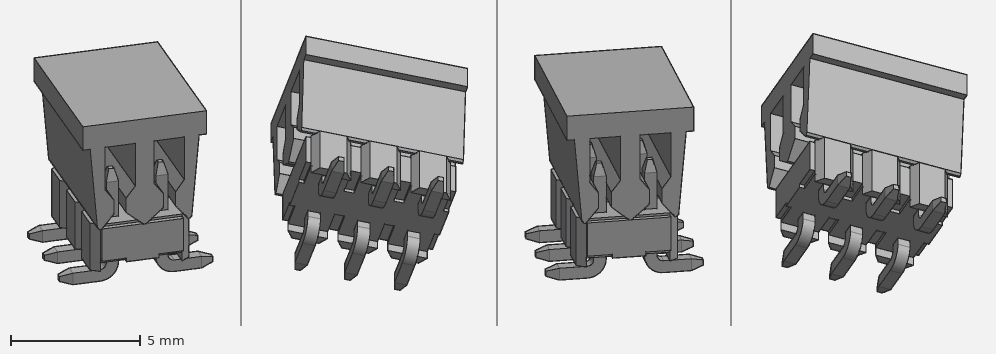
import cadquery as cq
import math

total_height = 7.2
pitch = 2.0
contacts_per_row = 3

pin_width = 0.505
pin_thickness = 0.5
pin_top = 4.695
pin_row_span = 6.2
pin_tip_length = 0.5
pin_tip_width = 0.215
pin_inner_radius = 0.25

cap_length = 6.5
cap_plate_width = 5.0
cap_plate_thickness = 1.0
cap_root_half_width = 2.2
cap_foot_half_width = 1.91
cap_bevel_height = 0.09
cap_bevel_depth = 0.08
slot_outer = 1.6
slot_inner = 0.38
slot_shoulder_z = 4.38
throat_top_z = 3.9
throat_bottom_z = 3.3
mouth_outer = 1.75
mouth_inner = 0.05

housing_top = 2.69
core_length = 6.02
core_width = 3.3
core_bottom = 1.22
core_top = 2.6
spine_width = 1.31
spine_bottom = 1.06
lug_width = 1.6
lug_face_width = 1.08
lug_bottom = 0.685
lugs_width = 2 * pitch

row_y = pitch / 2
pin_inner_y = row_y - pin_thickness / 2
pin_outer_y = row_y + pin_thickness / 2
contact_xs = [(i - (contacts_per_row - 1) / 2) * pitch for i in range(contacts_per_row)]


def block(length, width, bottom, top):
    """Box centred on X and Y between two heights."""
    return cq.Workplane("XY").workplane(offset=bottom).rect(length, width).extrude(top - bottom)


def prism_along_x(profile, length):
    """Extrude a YZ profile symmetrically about X = 0."""
    return profile.extrude(length / 2, both=True)


def slot(side):
    """Through slot whose throat grips the pin row on the given side (+1 or -1) of the centre plane."""
    outline = [
        (slot_inner, total_height - cap_plate_thickness),
        (slot_outer, total_height - cap_plate_thickness),
        (slot_outer, slot_shoulder_z),
        (pin_outer_y, throat_top_z),
        (pin_outer_y, throat_bottom_z),
        (mouth_outer, housing_top),
        (mouth_inner, housing_top),
        (pin_inner_y, throat_bottom_z),
        (pin_inner_y, throat_top_z),
        (slot_inner, slot_shoulder_z),
    ]
    points = [(side * y, z) for y, z in outline]
    return prism_along_x(cq.Workplane("YZ").polyline(points).close(), cap_length)


def make_cap():
    plate_bottom = total_height - cap_plate_thickness
    plate = block(cap_length, cap_plate_width, plate_bottom, total_height)
    right_edge = [
        (cap_foot_half_width - cap_bevel_depth, housing_top),
        (cap_foot_half_width, housing_top + cap_bevel_height),
        (cap_root_half_width, plate_bottom),
    ]
    left_edge = [(-y, z) for y, z in reversed(right_edge)]
    walls = prism_along_x(cq.Workplane("YZ").polyline(right_edge + left_edge).close(), cap_length)
    return plate.union(walls).cut(slot(1)).cut(slot(-1))


def pin_tip(plane):
    """Tapered pin end growing from the origin of the plane along its normal."""
    return (
        cq.Workplane(plane)
        .rect(pin_width, pin_thickness)
        .workplane(offset=pin_tip_length)
        .rect(pin_tip_width, pin_tip_width)
        .loft()
    )


def make_pin(x):
    """Pin of the -Y row, its foot pointing to -Y."""
    outer_radius = pin_inner_radius + pin_thickness
    bend_y = -pin_outer_y - pin_inner_radius
    bend_z = pin_thickness + pin_inner_radius
    diagonal = math.sqrt(0.5)
    shank_top = pin_top - pin_tip_length
    foot_end = -pin_row_span / 2 + pin_tip_length
    wire = prism_along_x(
        cq.Workplane("YZ")
        .moveTo(-pin_inner_y, shank_top)
        .lineTo(-pin_inner_y, bend_z)
        .threePointArc((bend_y + outer_radius * diagonal, bend_z - outer_radius * diagonal), (bend_y, 0))
        .lineTo(foot_end, 0)
        .lineTo(foot_end, pin_thickness)
        .lineTo(bend_y, pin_thickness)
        .threePointArc(
            (bend_y + pin_inner_radius * diagonal, bend_z - pin_inner_radius * diagonal),
            (-pin_outer_y, bend_z),
        )
        .lineTo(-pin_outer_y, shank_top)
        .close(),
        pin_width,
    )
    top_tip = pin_tip(cq.Plane((0, -row_y, shank_top), xDir=(1, 0, 0), normal=(0, 0, 1)))
    foot_tip = pin_tip(cq.Plane((0, foot_end, pin_thickness / 2), xDir=(1, 0, 0), normal=(0, -1, 0)))
    return wire.union(top_tip).union(foot_tip).translate((x, 0, 0))


def rib_with_lugs(x):
    """Cross rib through the core that ends in a bevelled, downward-reaching lug on each side."""
    rib = block(lug_width, core_width, spine_bottom, housing_top)
    lug_outline = [
        (-lug_width / 2, core_width / 2),
        (-lug_face_width / 2, lugs_width / 2),
        (lug_face_width / 2, lugs_width / 2),
        (lug_width / 2, core_width / 2),
    ]
    lug = (
        cq.Workplane("XY")
        .workplane(offset=lug_bottom)
        .polyline(lug_outline)
        .close()
        .extrude(housing_top - lug_bottom)
    )
    return rib.union(lug).union(lug.mirror("XZ")).translate((x, 0, 0))


def make_housing():
    housing = block(core_length, core_width, core_bottom, core_top)
    housing = housing.union(block(core_length, spine_width, spine_bottom, core_top))
    for x in contact_xs:
        housing = housing.union(rib_with_lugs(x))
    pin_holes = (
        cq.Workplane("XY")
        .workplane(offset=spine_bottom)
        .pushPoints([(x, side * row_y) for x in contact_xs for side in (-1, 1)])
        .rect(pin_width, pin_thickness)
        .extrude(housing_top - spine_bottom)
    )
    return housing.cut(pin_holes)


cap = make_cap()
housing = make_housing()
pins = []
for contact_x in contact_xs:
    pin = make_pin(contact_x)
    pins.append(pin)
    pins.append(pin.mirror("XZ"))

result = cq.Compound.makeCompound([cap.val(), housing.val(), *[pin.val() for pin in pins]])